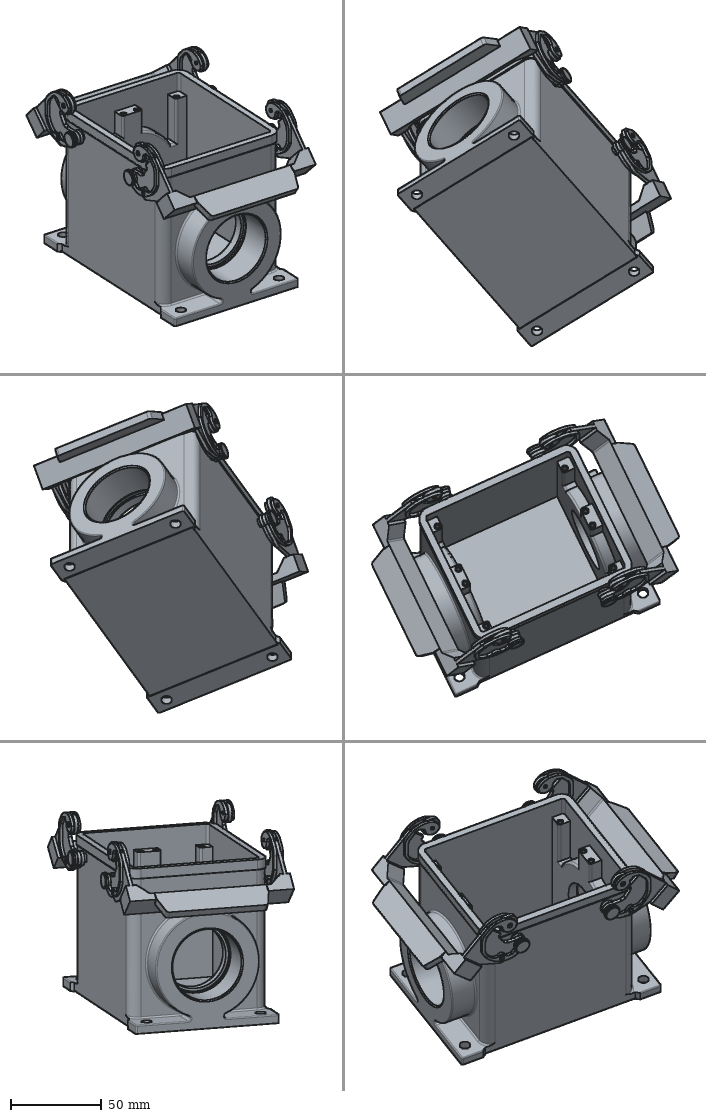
import cadquery as cq
import math


SELECT_MARGIN = 0.2

BODY_LENGTH = 95.0
BODY_WIDTH = 80.7
BODY_BOTTOM = 0.5
CORNER_RADIUS = 6.5
LIP_BOTTOM = 84.4
LIP_TOP = 90.2
LIP_OVERHANG = 0.6
CAVITY_LENGTH = 88.0
CAVITY_WIDTH = 73.5
CAVITY_RADIUS = 1.6

FLANGE_LENGTH = 125.3
FLANGE_WIDTH = 83.9
FLANGE_TOP = 5.1
FLANGE_PAD_INNER_X = 49.3
FLANGE_TAPER_END_X = 47.1
FLANGE_CORNER_RADIUS = 1.0
FLANGE_EDGE_FILLET = 0.6
FLANGE_HOLE_X = 56.1
FLANGE_HOLE_Y = 33.3
FLANGE_HOLE_DIAMETER = 5.8
ROOT_FILLET = 1.0

ENTRY_Z = 36.2
ENTRY_RADIUS = 30.2
NECK_GROOVE_RADIUS = 1.5
BORE_RADIUS = 17.8
SOCKET_RADIUS = 20.1
SOCKET_DEPTH = 19.3
SOCKET_CHAMFER = 0.8
SEAT_RADIUS = 19.5
SEAT_DEPTH = 1.6

SUPPORT_INNER_X = 36.6
SUPPORT_LEDGE_Z = 51.5
POST_TOP = 78.7
CORNER_POST_INNER_Y = 29.2
CENTRE_POST_HALF_WIDTH = 6.9
SUPPORT_FILLET = 1.3
SCREW_HOLE_X = 38.9
SCREW_HOLE_YS = (4.5, 31.5)
SCREW_HOLE_RADIUS = 1.1
SCREW_HOLE_CHAMFER = 0.6
SCREW_HOLE_DEPTH = 16.0

CHEEK_INNER_Y = 42.1
CORE_INNER_Y = 43.9
CORE_OUTER_Y = 46.0
CHEEK_OUTER_Y = 47.5
PIVOT = (-28.3, 80.0)
CHEEK_EYE_RADIUS = 4.0
CORE_EYE_RADIUS = 3.7
PIN_RADIUS = 2.5
PIN_HEAD_RADIUS = 4.5
PIN_HEAD_CHAMFER = 0.5
OVERALL_WIDTH = 98.5
ROLLER = (-35.5, 97.9)
ROLLER_RADIUS = 5.5
HOOK_EYE_RADIUS = 4.5
RIVET = (-40.5, 75.9)
RIVET_RADIUS = 1.5
RIVET_HEIGHT = 0.5
RIVET_CHAMFER = 0.4
RIVET_RECESS_RADIUS = 1.0

HANDLE_TILT = math.radians(46)
HANDLE_CORNER = (-70.7, 77.5)
HANDLE_END_HEIGHT = 10.3
HANDLE_BAR_HEIGHT = 4.2
HANDLE_DEPTH = 14.1
HANDLE_HALF_WIDTH = 47.9
HANDLE_END_INNER_Y = 42.0
HANDLE_BAR_HALF_WIDTH = 35.4
HANDLE_BEND_RADIUS = 1.6
GRIP_TIP = (-80.4, 72.0)
GRIP_SIDE_TAPER_LENGTH = 10.5
GRIP_THICKNESS = 4.5
GRIP_TIP_HALF_WIDTH = 29.4
GRIP_ROOT_HALF_WIDTH = 32.6
GRIP_CORNER_RADIUS = 2.0


def box(x_range, y_range, z_range):
    """Axis-aligned block between the given limits."""
    (x0, x1), (y0, y1), (z0, z1) = x_range, y_range, z_range
    return cq.Workplane("XY").box(x1 - x0, y1 - y0, z1 - z0, centered=False).translate((x0, y0, z0))


def rounded_prism(length, width, radius, z0, z1):
    """Upright block centred on Z with rounded vertical edges."""
    block = box((-length / 2, length / 2), (-width / 2, width / 2), (z0, z1))
    return block.edges("|Z").fillet(radius)


def cylinder_x(radius, x0, x1, y=0.0, z=ENTRY_Z):
    """Cylinder along X."""
    return cq.Workplane("YZ", origin=(x0, y, z)).circle(radius).extrude(x1 - x0)


def side_plane(distance):
    """XZ workplane on the -Y side, extruding outwards."""
    return cq.Workplane("XZ", origin=(0, -distance, 0))


def side_disc(centre, radius, inner, outer):
    """Disc in the -Y side plates, between two distances from the XZ plane."""
    return side_plane(inner).center(*centre).circle(radius).extrude(outer - inner)


def both_ends(solid):
    """A feature on the -X end together with its mirror on the +X end."""
    return solid.union(solid.mirror("YZ"))


def both_sides(solid):
    """A feature on the -Y side together with its mirror on the +Y side."""
    return solid.union(solid.mirror("XZ"))


def make_end():
    """Flange, neck and round entry on the -X end, drawn as one outline and extruded into the body."""
    half_width = FLANGE_WIDTH / 2
    inside_x = -BODY_LENGTH / 2 + CORNER_RADIUS
    groove_z = FLANGE_TOP + NECK_GROOVE_RADIUS
    centre_distance = ENTRY_RADIUS + NECK_GROOVE_RADIUS
    rise = ENTRY_Z - groove_z
    groove_y = math.sqrt(centre_distance**2 - rise**2)
    barrel_y = groove_y * ENTRY_RADIUS / centre_distance
    barrel_z = ENTRY_Z - rise * ENTRY_RADIUS / centre_distance
    groove_inner_y = groove_y - NECK_GROOVE_RADIUS
    end = (
        cq.Workplane("YZ", origin=(-FLANGE_LENGTH / 2, 0, 0))
        .moveTo(-half_width, 0)
        .lineTo(half_width, 0)
        .lineTo(half_width, FLANGE_TOP)
        .lineTo(groove_y, FLANGE_TOP)
        .threePointArc((groove_inner_y, groove_z), (barrel_y, barrel_z))
        .threePointArc((0, ENTRY_Z + ENTRY_RADIUS), (-barrel_y, barrel_z))
        .threePointArc((-groove_inner_y, groove_z), (-groove_y, FLANGE_TOP))
        .lineTo(-half_width, FLANGE_TOP)
        .close()
        .extrude(inside_x + FLANGE_LENGTH / 2)
    )
    beside_body = (
        cq.Workplane("XY")
        .moveTo(-FLANGE_PAD_INNER_X, -half_width)
        .lineTo(-FLANGE_TAPER_END_X, -BODY_WIDTH / 2)
        .lineTo(0, -BODY_WIDTH / 2)
        .lineTo(0, -half_width)
        .close()
        .extrude(FLANGE_TOP)
    )
    end = end.cut(both_sides(beside_body))
    end = end.edges("|Z and <X").fillet(FLANGE_CORNER_RADIUS)
    top_of_end_face = cq.selectors.BoxSelector(
        (-FLANGE_LENGTH / 2 - SELECT_MARGIN, -half_width, FLANGE_TOP - SELECT_MARGIN),
        (-FLANGE_LENGTH / 2 + SELECT_MARGIN, half_width, LIP_TOP),
    )
    return end.edges(top_of_end_face).fillet(FLANGE_EDGE_FILLET)


def make_shell():
    """Solid body with a lip round its top, standing on the flanged ends."""
    walls = rounded_prism(BODY_LENGTH, BODY_WIDTH, CORNER_RADIUS, BODY_BOTTOM, LIP_BOTTOM)
    base = box(
        (-FLANGE_TAPER_END_X, FLANGE_TAPER_END_X),
        (-BODY_WIDTH / 2, BODY_WIDTH / 2),
        (BODY_BOTTOM, FLANGE_TOP),
    )
    raised_bottom = box(
        (-FLANGE_PAD_INNER_X, FLANGE_PAD_INNER_X),
        (-BODY_WIDTH / 2, BODY_WIDTH / 2),
        (0, BODY_BOTTOM),
    )
    half = make_end().union(walls).union(base).cut(raised_bottom)
    half = half.intersect(box((-FLANGE_LENGTH, 0), (-FLANGE_LENGTH, FLANGE_LENGTH), (0, LIP_TOP)))
    wall_x = -BODY_LENGTH / 2
    flat_half_width = BODY_WIDTH / 2 - CORNER_RADIUS - SELECT_MARGIN
    root = cq.selectors.BoxSelector(
        (wall_x - SELECT_MARGIN, -flat_half_width, FLANGE_TOP - SELECT_MARGIN),
        (wall_x + SELECT_MARGIN, flat_half_width, LIP_BOTTOM - SELECT_MARGIN),
    )
    half = half.edges(root).fillet(ROOT_FILLET)
    lip = rounded_prism(
        BODY_LENGTH + 2 * LIP_OVERHANG,
        BODY_WIDTH + 2 * LIP_OVERHANG,
        CORNER_RADIUS + LIP_OVERHANG,
        LIP_BOTTOM,
        LIP_TOP,
    )
    return both_ends(half).union(lip)


def make_entry_bore():
    """Stepped opening through the -X end wall."""
    end_x = -FLANGE_LENGTH / 2
    bore = cylinder_x(BORE_RADIUS, end_x, 0)
    socket = cylinder_x(SOCKET_RADIUS, end_x, end_x + SOCKET_DEPTH)
    mouth = cq.Workplane("YZ", origin=(end_x, 0, ENTRY_Z)).circle(SOCKET_RADIUS + SOCKET_CHAMFER)
    mouth = mouth.workplane(offset=SOCKET_CHAMFER).circle(SOCKET_RADIUS).loft()
    seat = cylinder_x(SEAT_RADIUS, end_x, end_x + SOCKET_DEPTH + SEAT_DEPTH)
    return bore.union(seat).union(socket).union(mouth)


def make_support():
    """Support on the -X end wall: ledge, three posts and the rounded wall of the entry."""
    x_range = (-CAVITY_LENGTH / 2, -SUPPORT_INNER_X)
    half_width = CAVITY_WIDTH / 2
    support = box(x_range, (-half_width, half_width), (FLANGE_TOP, SUPPORT_LEDGE_Z))
    support = support.union(cylinder_x(ENTRY_RADIUS, *x_range))
    post_z = (FLANGE_TOP, POST_TOP)
    for y_range in (
        (-half_width, -CORNER_POST_INNER_Y),
        (-CENTRE_POST_HALF_WIDTH, CENTRE_POST_HALF_WIDTH),
        (CORNER_POST_INNER_Y, half_width),
    ):
        support = support.union(box(x_range, y_range, post_z))
    rounded_edges = cq.selectors.BoxSelector(
        (x_range[1] - SELECT_MARGIN, -half_width + SELECT_MARGIN, FLANGE_TOP + SELECT_MARGIN),
        (x_range[1] + SELECT_MARGIN, half_width - SELECT_MARGIN, POST_TOP - SELECT_MARGIN),
    )
    support = support.edges(rounded_edges).fillet(SUPPORT_FILLET)
    for hole_y in SCREW_HOLE_YS:
        for side in (-1, 1):
            top = cq.Workplane("XY", origin=(-SCREW_HOLE_X, side * hole_y, POST_TOP))
            hole = top.circle(SCREW_HOLE_RADIUS).extrude(-SCREW_HOLE_DEPTH)
            countersink = top.circle(SCREW_HOLE_RADIUS + SCREW_HOLE_CHAMFER)
            countersink = countersink.workplane(offset=-SCREW_HOLE_CHAMFER).circle(SCREW_HOLE_RADIUS).loft()
            support = support.cut(hole).cut(countersink)
    return support


def make_housing():
    """Hollow housing with flange, entries and supports."""
    cavity = rounded_prism(CAVITY_LENGTH, CAVITY_WIDTH, CAVITY_RADIUS, FLANGE_TOP, LIP_TOP)
    housing = make_shell().cut(cavity)
    housing = housing.union(both_ends(make_support())).cut(both_ends(make_entry_bore()))
    holes = cq.Workplane("XY").rect(2 * FLANGE_HOLE_X, 2 * FLANGE_HOLE_Y, forConstruction=True).vertices()
    return housing.cut(holes.circle(FLANGE_HOLE_DIAMETER / 2).extrude(FLANGE_TOP))


def tilted_plane(origin, tilt):
    """Plane at (x, z) origin: local x along Y, local y up the tilt, normal down to the right."""
    return cq.Plane(
        origin=(origin[0], 0, origin[1]),
        xDir=(0, 1, 0),
        normal=(math.sin(tilt), 0, -math.cos(tilt)),
    )


def along_normal(tilt):
    """Selector for edges that follow the normal of a tilted plane."""
    return cq.selectors.ParallelDirSelector(tilted_plane((0, 0), tilt).zDir)


def handle_point(height, depth):
    """(x, z) of a point on the handle section, from its outer corner up and across the tilt."""
    cosine = math.cos(HANDLE_TILT)
    sine = math.sin(HANDLE_TILT)
    x = HANDLE_CORNER[0] + height * cosine + depth * sine
    z = HANDLE_CORNER[1] + height * sine - depth * cosine
    return x, z


def make_handle():
    """Bar joining the two side plates, with a tapered finger grip."""
    ends_and_bar = [
        (-HANDLE_HALF_WIDTH, 0),
        (HANDLE_HALF_WIDTH, 0),
        (HANDLE_HALF_WIDTH, HANDLE_END_HEIGHT),
        (HANDLE_END_INNER_Y, HANDLE_END_HEIGHT),
        (HANDLE_BAR_HALF_WIDTH, HANDLE_BAR_HEIGHT),
        (-HANDLE_BAR_HALF_WIDTH, HANDLE_BAR_HEIGHT),
        (-HANDLE_END_INNER_Y, HANDLE_END_HEIGHT),
        (-HANDLE_HALF_WIDTH, HANDLE_END_HEIGHT),
    ]
    bar = cq.Workplane(tilted_plane(HANDLE_CORNER, HANDLE_TILT))
    bar = bar.polyline(ends_and_bar).close().extrude(HANDLE_DEPTH)
    inner_half_width = HANDLE_BAR_HALF_WIDTH + HANDLE_BEND_RADIUS
    bends = cq.selectors.BoxSelector(
        (-FLANGE_LENGTH, -inner_half_width, 0),
        (0, inner_half_width, LIP_TOP),
    )
    bar = bar.edges(bends & along_normal(HANDLE_TILT)).fillet(HANDLE_BEND_RADIUS)
    bar_edge_x, bar_edge_z = handle_point(HANDLE_BAR_HEIGHT, 0)
    grip_run = bar_edge_x - GRIP_TIP[0]
    grip_rise = bar_edge_z - GRIP_TIP[1]
    grip_tilt = math.atan2(grip_rise, grip_run)
    grip_length = math.hypot(grip_run, grip_rise)
    grip_outline = [
        (-GRIP_TIP_HALF_WIDTH, 0),
        (GRIP_TIP_HALF_WIDTH, 0),
        (GRIP_ROOT_HALF_WIDTH, GRIP_SIDE_TAPER_LENGTH),
        (GRIP_ROOT_HALF_WIDTH, grip_length),
        (-GRIP_ROOT_HALF_WIDTH, grip_length),
        (-GRIP_ROOT_HALF_WIDTH, GRIP_SIDE_TAPER_LENGTH),
    ]
    grip = cq.Workplane(tilted_plane(GRIP_TIP, grip_tilt))
    grip = grip.polyline(grip_outline).close().extrude(GRIP_THICKNESS)
    tip_corners = cq.selectors.BoxSelector(
        (GRIP_TIP[0] - GRIP_THICKNESS, -HANDLE_HALF_WIDTH, 0),
        (GRIP_TIP[0] + GRIP_THICKNESS, HANDLE_HALF_WIDTH, LIP_TOP),
    )
    grip = grip.edges(tip_corners & along_normal(grip_tilt)).fillet(GRIP_CORNER_RADIUS)
    return bar.union(grip)


def make_core():
    """Core plate from the handle end to the pivot, with a notched jaw."""
    top_corner = handle_point(HANDLE_END_HEIGHT, 0)
    bottom_corner = handle_point(HANDLE_END_HEIGHT, HANDLE_DEPTH)
    pivot_x, pivot_z = PIVOT
    core = (
        side_plane(CORE_INNER_Y)
        .moveTo(*top_corner)
        .lineTo(-48.7, 100.3)
        .lineTo(-40.3, 92.5)
        .lineTo(-41.5, 91.0)
        .lineTo(-41.1, 89.5)
        .lineTo(-38.0, 84.7)
        .lineTo(-35.7, pivot_z + CORE_EYE_RADIUS)
        .lineTo(pivot_x, pivot_z + CORE_EYE_RADIUS)
        .lineTo(pivot_x, pivot_z - CORE_EYE_RADIUS)
        .lineTo(-32.6, 73.6)
        .lineTo(-39.0, 71.0)
        .threePointArc((-40.5, 70.7), (-42.0, 71.0))
        .lineTo(*bottom_corner)
        .close()
        .extrude(CORE_OUTER_Y - CORE_INNER_Y)
    )
    return core.union(side_disc(PIVOT, CORE_EYE_RADIUS, CORE_INNER_Y, CORE_OUTER_Y))


def make_cheek(inner, outer):
    """Curved cheek band from the roller hook round to the pivot."""
    roller_x, roller_z = ROLLER
    pivot_x, pivot_z = PIVOT
    cheek = (
        side_plane(inner)
        .moveTo(-40.0, 103.5)
        .threePointArc((-34.2, 101.9), (roller_x + HOOK_EYE_RADIUS, roller_z))
        .threePointArc((roller_x, roller_z - HOOK_EYE_RADIUS), (roller_x - HOOK_EYE_RADIUS, roller_z))
        .threePointArc((-43.2, 100.5), (-47.0, 98.7))
        .lineTo(-50.1, 95.1)
        .lineTo(-51.0, 92.2)
        .lineTo(-51.0, 85.3)
        .threePointArc((-49.5, 81.5), (-46.3, 78.1))
        .lineTo(-45.3, 77.5)
        .lineTo(-42.5, 77.5)
        .threePointArc((-40.5, 78.6), (-39.0, 77.8))
        .lineTo(-37.5, 75.9)
        .lineTo(-34.2, 75.9)
        .lineTo(-32.3, 77.8)
        .lineTo(pivot_x, pivot_z)
        .lineTo(pivot_x, pivot_z - CHEEK_EYE_RADIUS)
        .lineTo(-32.6, 73.6)
        .threePointArc((-36.6, 72.8), (-40.3, 73.3))
        .threePointArc((-47.9, 77.3), (-52.9, 84.7))
        .lineTo(-52.9, 92.9)
        .threePointArc((-52.4, 95.5), (-51.0, 97.7))
        .lineTo(-47.5, 101.0)
        .threePointArc((-44.0, 102.8), (-40.0, 103.5))
        .close()
        .extrude(outer - inner)
    )
    return cheek.union(side_disc(PIVOT, CHEEK_EYE_RADIUS, inner, outer))


def make_side():
    """Core, cheeks, roller, rivets and pivot pin on the -Y side."""
    side = make_core().union(side_disc(ROLLER, ROLLER_RADIUS, CORE_INNER_Y, CORE_OUTER_Y))
    side = side.union(make_cheek(CHEEK_INNER_Y, CORE_INNER_Y))
    side = side.union(make_cheek(CORE_OUTER_Y, CHEEK_OUTER_Y))
    for centre in (ROLLER, RIVET):
        head = side_disc(centre, RIVET_RADIUS, CHEEK_OUTER_Y, CHEEK_OUTER_Y + RIVET_HEIGHT)
        recess = side_disc(centre, RIVET_RECESS_RADIUS, CHEEK_INNER_Y, CHEEK_INNER_Y + RIVET_HEIGHT)
        side = side.union(head.faces("<Y").chamfer(RIVET_CHAMFER)).cut(recess)
    wall_y = CAVITY_WIDTH / 2
    pin = side_disc(PIVOT, PIN_RADIUS, wall_y, CHEEK_OUTER_Y)
    head = side_disc(PIVOT, PIN_HEAD_RADIUS, CHEEK_OUTER_Y, OVERALL_WIDTH / 2)
    return side.union(pin).union(head.faces("<Y").chamfer(PIN_HEAD_CHAMFER))


def make_lever():
    """Locking lever at the -X end."""
    return make_handle().union(both_sides(make_side()))


result = make_housing().union(both_ends(make_lever()))